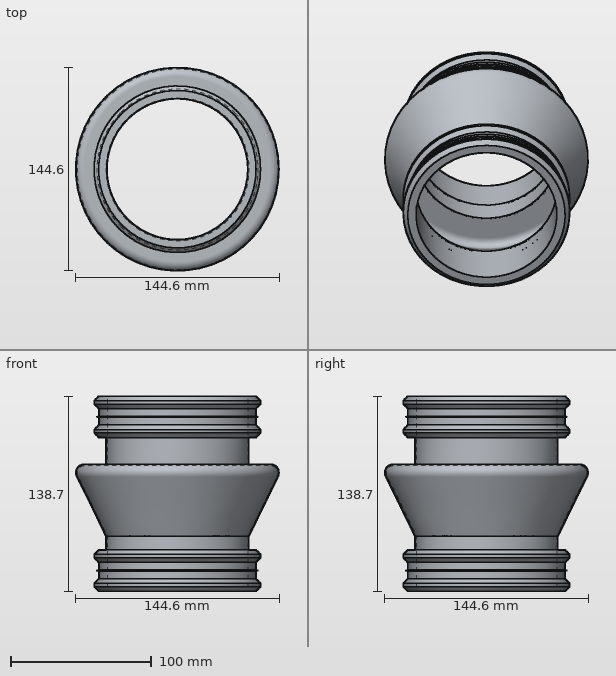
import cadquery as cq
import math

total_height = 138.7
bore_radius = 100.0 / 2
tube_radius = 101.7 / 2
wall = tube_radius - bore_radius

collar_height = 29.5
upper_collar_bottom = total_height - collar_height
collar_radius = 111.9 / 2
lip_radius = 118.4 / 2
lip_chamfer = lip_radius - collar_radius
lip_land = 2.5
lip_height = lip_land + 2 * lip_chamfer
rib_radius = 114.5 / 2
rib_base = 0.9

bulge_radius = 72.3
bulge_top = 90.3
cone_foot = 39.2
shoulder_radius = 6.0
shoulder_r = bulge_radius - shoulder_radius
shoulder_z = bulge_top - shoulder_radius

foot_to_shoulder_r = shoulder_r - tube_radius
foot_to_shoulder_z = shoulder_z - cone_foot
foot_to_shoulder = math.hypot(foot_to_shoulder_r, foot_to_shoulder_z)
cone_angle = math.atan2(foot_to_shoulder_r, foot_to_shoulder_z)
cone_angle += math.asin(shoulder_radius / foot_to_shoulder)


def revolved(profile):
    """Full turn of a closed radius-height profile about Z."""
    return profile.revolve(360, (0, 0, 0), (0, 1, 0))


def lip(bottom):
    """Ring with both outer edges chamfered down to the collar surface."""
    land_bottom = bottom + lip_chamfer
    profile = (
        cq.Workplane("XZ")
        .moveTo(bore_radius, bottom)
        .lineTo(collar_radius, bottom)
        .lineTo(lip_radius, land_bottom)
        .lineTo(lip_radius, land_bottom + lip_land)
        .lineTo(collar_radius, bottom + lip_height)
        .lineTo(bore_radius, bottom + lip_height)
        .close()
    )
    return revolved(profile)


def sharp_rib(middle):
    """Thin triangular ridge round the collar, pointed outward."""
    profile = (
        cq.Workplane("XZ")
        .moveTo(bore_radius, middle - rib_base / 2)
        .lineTo(collar_radius, middle - rib_base / 2)
        .lineTo(rib_radius, middle)
        .lineTo(collar_radius, middle + rib_base / 2)
        .lineTo(bore_radius, middle + rib_base / 2)
        .close()
    )
    return revolved(profile)


def end_collar(bottom):
    """Collar sleeve with a lip at each end and the central rib."""
    sleeve_base = cq.Workplane("XY").workplane(offset=bottom)
    sleeve = sleeve_base.circle(collar_radius).circle(bore_radius).extrude(collar_height)
    rib = sharp_rib(bottom + collar_height / 2)
    upper_lip = lip(bottom + collar_height - lip_height)
    return sleeve.union(lip(bottom)).union(upper_lip).union(rib)


def shoulder_point(radius, angle):
    """Point on an arc about the shoulder centre, angle measured up from horizontal."""
    return shoulder_r + radius * math.cos(angle), shoulder_z + radius * math.sin(angle)


def bulge_envelope(inset):
    """Solid enclosed by the tube and bulge surface, moved inward by the inset."""
    radius = tube_radius - inset
    arc_radius = shoulder_radius - inset
    foot = cone_foot + inset * math.tan(cone_angle / 2)
    arc_middle = (math.pi / 2 - cone_angle) / 2
    profile = (
        cq.Workplane("XZ")
        .lineTo(radius, 0)
        .lineTo(radius, foot)
        .lineTo(*shoulder_point(arc_radius, -cone_angle))
        .threePointArc(shoulder_point(arc_radius, arc_middle), (shoulder_r, bulge_top - inset))
        .lineTo(radius, bulge_top - inset)
        .lineTo(radius, upper_collar_bottom)
        .lineTo(0, upper_collar_bottom)
        .close()
    )
    return revolved(profile)


upper_collar = end_collar(upper_collar_bottom)

bulged_tube = bulge_envelope(0).cut(bulge_envelope(wall))
housing = bulged_tube.union(end_collar(0))

result = cq.Compound.makeCompound([housing.val(), upper_collar.val()])